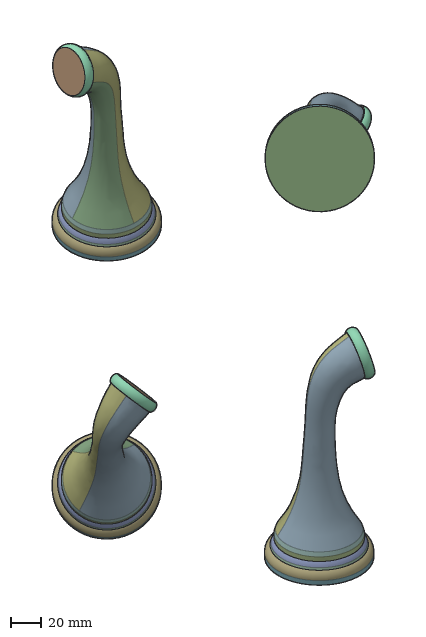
import cadquery as cq
import math

base_radius = 36.22
base_edge_height = 3.5
lower_bead_top = 9.4
lower_bead_radius = 32.5
bead_mid_out = 0.74
bead_mid_up = 0.62
step_height = 11.0
step_radius = 32.0
upper_bead_top = 14.7
collar_radius = 30.0
collar_height = 18.2
neck_height = 21.5
neck_radius = 29.0

outlet_tilt = 15
outlet_reach = 32.0
outlet_height = 153.8
outlet_radius = 16.4
rim_radius = 18.0
rim_back_radius = 16.7
rim_length = 7.3
spout_end_radius = 15.9

tilt_cos = math.cos(math.radians(outlet_tilt))
tilt_sin = math.sin(math.radians(outlet_tilt))
rim_back_reach = outlet_reach - rim_length * tilt_cos
rim_back_height = outlet_height - rim_length * tilt_sin

body_sections = [
    (0, neck_height, 0, neck_radius),
    (0, 34.1, 0, 21.6),
    (0, 47.7, 0, 16.2),
    (0, 64.8, 0, 12.5),
    (0, 85.2, 0, 10.7),
    (0.5, 102.3, 2, 10.0),
    (1.4, 114.2, 7, 10.4),
    (3.0, 124.5, 15, 11.5),
    (6.6, 135.2, 30, 12.8),
    (14.1, 144.5, 51, 14.5),
    (rim_back_reach, rim_back_height, 90 - outlet_tilt, spout_end_radius),
]


def make_base():
    """Revolve the stepped base with its two rounded beads."""
    bead_mid_radius = lower_bead_radius + bead_mid_out * (base_radius - lower_bead_radius)
    bead_mid_height = base_edge_height + bead_mid_up * (lower_bead_top - base_edge_height)
    profile = (
        cq.Workplane("XZ")
        .lineTo(base_radius, 0)
        .lineTo(base_radius, base_edge_height)
        .threePointArc((bead_mid_radius, bead_mid_height), (lower_bead_radius, lower_bead_top))
        .lineTo(step_radius, step_height)
        .tangentArcPoint((collar_radius, upper_bead_top), relative=False)
        .lineTo(collar_radius, collar_height)
        .lineTo(neck_radius, neck_height)
        .lineTo(0, neck_height)
        .close()
    )
    return profile.revolve(360, (0, 0, 0), (0, 1, 0))


def make_body():
    """Loft the round sections that flare, narrow and bend toward the outlet."""
    rings = []
    for reach, height, lean, radius in body_sections:
        angle = math.radians(lean)
        center = cq.Vector(0, -reach, height)
        normal = cq.Vector(0, -math.sin(angle), math.cos(angle))
        ring = cq.Edge.makeCircle(radius, center, normal)
        rings.append(cq.Wire.assembleEdges([ring]))
    return cq.Workplane(cq.Solid.makeLoft(rings))


def make_rim():
    """Revolve the rounded rim about the tilted outlet axis."""
    rim_plane = cq.Plane(
        origin=(0, -rim_back_reach, rim_back_height),
        xDir=(1, 0, 0),
        normal=(0, tilt_sin, tilt_cos),
    )
    return (
        cq.Workplane(rim_plane)
        .lineTo(rim_back_radius, 0)
        .threePointArc((rim_radius, -rim_length / 2), (outlet_radius, -rim_length))
        .lineTo(0, -rim_length)
        .close()
        .revolve(360, (0, 0, 0), (0, 1, 0))
    )


result = make_base().union(make_body()).union(make_rim())